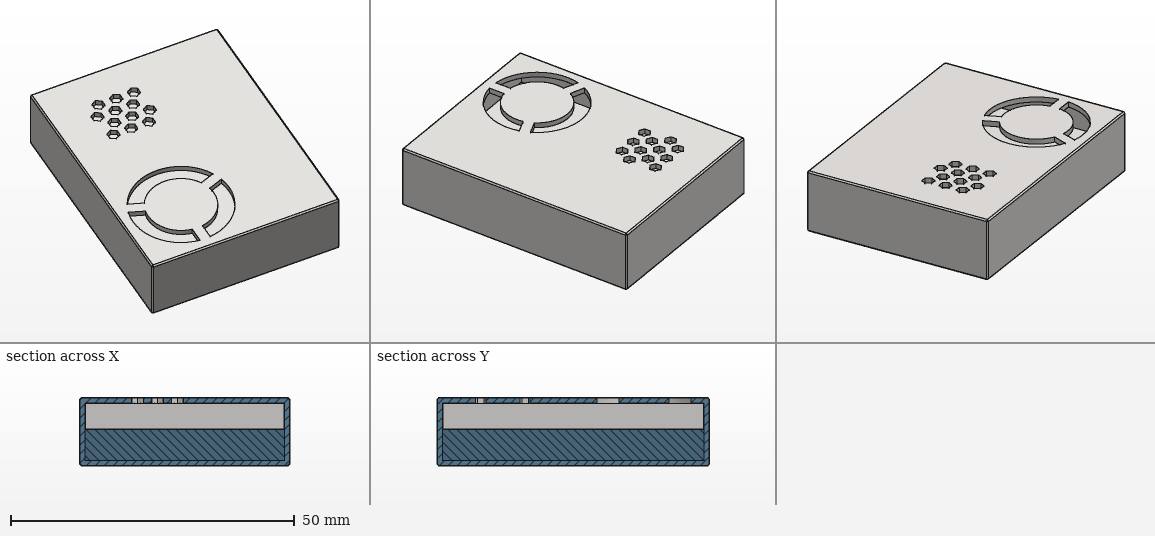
import cadquery as cq

length = 48.0
width = 37.0
height = 12.0
edge_chamfer = 0.3
wall = 1.0
cavity_length = length - 2 * wall
cavity_width = width - 2 * wall
cavity_top = height - wall

core_top = 6.5

fan_x = 12.5
fan_y = -7.0
fan_radius = 9.5
hub_radius = 6.5
spoke_width = 2.0
side_spoke_angle = 111
spoke_angles = (0, side_spoke_angle, -side_spoke_angle)
spoke_length = fan_radius + wall

hex_across_corners = 2.3
hex_columns = 4
hex_rows = 3
hex_column_step = 2.6
hex_pitch = 3.5
hex_column_drop = 1.5
hex_first_x = -16.25
hex_first_y = -8.85


def make_cavity_block(top):
    """Block with the plan of the cavity, from the cavity floor up to the given height."""
    return (
        cq.Workplane("XY", origin=(0, 0, wall))
        .rect(cavity_length, cavity_width)
        .extrude(top - wall)
    )


def make_fan_cutter():
    """Ring segments left between the spokes, as deep as the top wall."""
    ring = (
        cq.Workplane("XY", origin=(fan_x, fan_y, cavity_top))
        .circle(fan_radius)
        .circle(hub_radius)
        .extrude(wall)
    )
    for angle in spoke_angles:
        spoke = (
            cq.Workplane("XY")
            .box(spoke_length, spoke_width, wall, centered=(False, True, False))
            .rotate((0, 0, 0), (0, 0, 1), angle)
            .translate((fan_x, fan_y, cavity_top))
        )
        ring = ring.cut(spoke)
    return ring


def make_hex_cutter():
    """Hexagonal prisms for the inlet holes, moved up by one pitch from the third column on."""
    centres = []
    for column in range(hex_columns):
        x = hex_first_x + column * hex_column_step
        lowest_y = hex_first_y - column * hex_column_drop + column // 2 * hex_pitch
        for row in range(hex_rows):
            centres.append((x, lowest_y + row * hex_pitch))
    return (
        cq.Workplane("XY", origin=(0, 0, cavity_top))
        .pushPoints(centres)
        .polygon(6, hex_across_corners)
        .extrude(wall)
    )


def make_housing():
    """Hollow box with the fan opening and the inlet holes in its top wall."""
    outer = (
        cq.Workplane("XY")
        .box(length, width, height, centered=(True, True, False))
        .edges()
        .chamfer(edge_chamfer)
    )
    hollow = outer.cut(make_cavity_block(cavity_top))
    return hollow.cut(make_fan_cutter()).cut(make_hex_cutter())


def make_core():
    """Block resting on the cavity floor, fitted between the housing walls."""
    return make_cavity_block(core_top)


housing = make_housing()
core = make_core()
result = cq.Compound.makeCompound([housing.solids().val(), core.solids().val()])